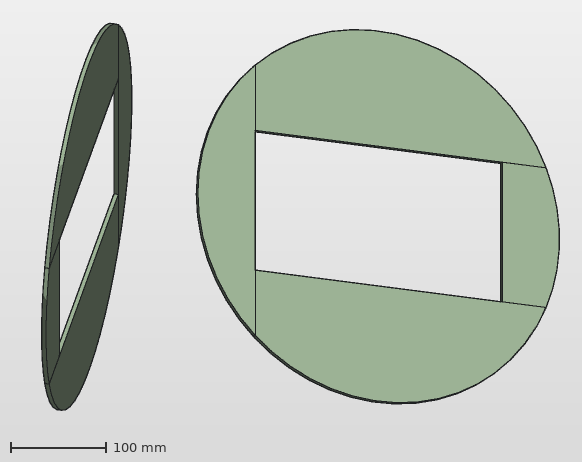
import cadquery as cq

disc_diameter = 409.5
disc_thickness = 5.0
tilt_angle = 9.0
window_length = 279.5
window_height = 154.5

disc_radius = disc_diameter / 2
half_length = window_length / 2
half_height = window_height / 2


def disc_piece(u_min, u_max, z_min, z_max):
    """Part of the tilted disc inside a rectangle: u runs horizontally in the disc, z upward."""
    disc = cq.Workplane("YZ").circle(disc_radius).extrude(disc_thickness / 2, both=True)
    region = cq.Workplane("XY").box(
        disc_thickness * 2, u_max - u_min, z_max - z_min, centered=(True, False, False)
    ).translate((0, u_min, z_min))
    return disc.intersect(region).rotate((0, 0, 0), (0, 0, 1), tilt_angle)


end_segment = disc_piece(half_length, disc_radius, -disc_radius, disc_radius)

upper_panel = disc_piece(-disc_radius, half_length, half_height, disc_radius)
lower_panel = disc_piece(-disc_radius, half_length, -disc_radius, -half_height)

end_filler = disc_piece(-disc_radius, -half_length, -half_height, half_height)

result = cq.Compound.makeCompound([
    end_segment.val(),
    upper_panel.val(),
    lower_panel.val(),
    end_filler.val(),
])